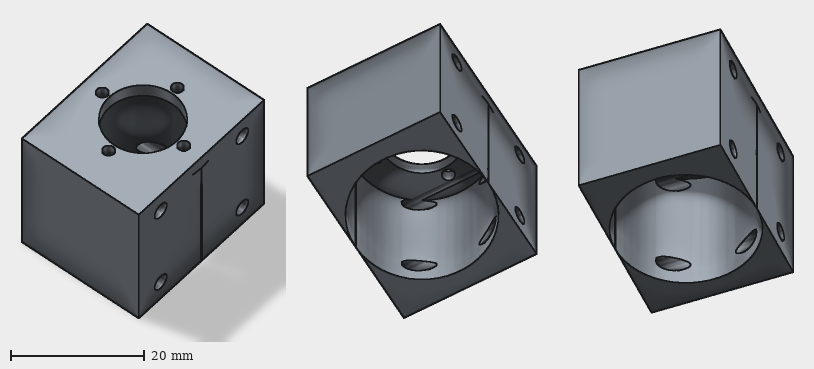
import cadquery as cq
import math

width = 23.0
length = 29.2
height = 24.55

top_thickness = 2.5
slit_width = 0.2
cavity_radius = math.hypot(width / 2, slit_width / 2)

opening_diameter = 13.25
screw_hole_diameter = 2.0
screw_circle_radius = 8.0
screw_count = 4

cross_hole_diameter = 2.8
cross_hole_spacing_y = 19.0
cross_hole_spacing_z = 16.88


def make_block():
    return cq.Workplane("XY").box(width, length, height, centered=(True, True, False))


def make_cavity():
    return cq.Workplane("XY").circle(cavity_radius).extrude(height - top_thickness)


def make_top_holes():
    opening = cq.Workplane("XY").circle(opening_diameter / 2).extrude(height)
    screw_holes = (
        cq.Workplane("XY")
        .polarArray(screw_circle_radius, 0, 360, screw_count)
        .circle(screw_hole_diameter / 2)
        .extrude(height)
    )
    return opening.union(screw_holes)


def make_cross_holes():
    return (
        cq.Workplane("YZ", origin=(0, 0, height / 2))
        .rarray(cross_hole_spacing_y, cross_hole_spacing_z, 2, 2)
        .circle(cross_hole_diameter / 2)
        .extrude(width / 2, both=True)
    )


result = make_block().cut(make_cavity()).cut(make_top_holes()).cut(make_cross_holes())